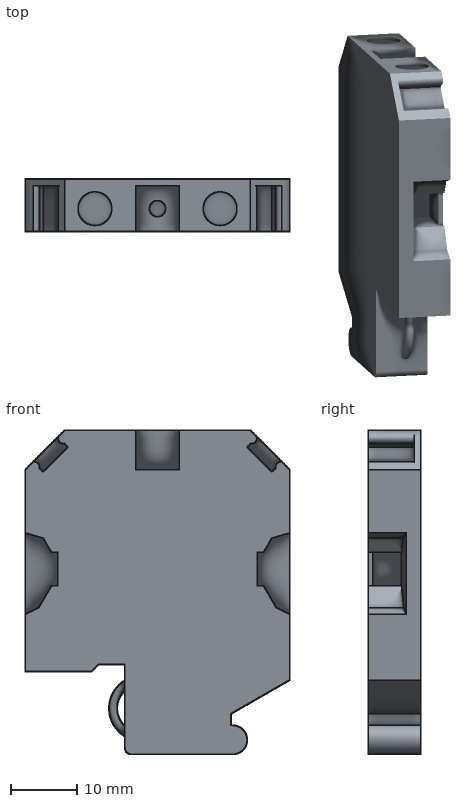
import cadquery as cq
import math

width = 40.0
thickness = 8.0
height = 49.0
half_width = width / 2
corner_chamfer = 6.0
left_shoulder_z = 12.5
step_z = 13.55
step_end_x = -8.9
foot_left_x = -4.95
foot_corner_radius = 1.0
right_shoulder_z = 11.2
hook_notch_x = 11.1
hook_notch_z = 6.12
hook_tip_x = 13.55
hook_radius = 2.2

recess_depth = 6.95
label_slot_half_width = 3.3
label_slot_height = 6.0

screw_y = 3.5
screw_x = 9.45
screw_diameter = 5.1
pin_diameter = 2.45
hole_depth = 0.5

marker_lower_end = -2.55
marker_upper_end = 2.75
marker_upper_mouth = 3.1
marker_depth = 2.15
marker_lip_height = 1.35
marker_lip_bulge = 0.35

entry_top_z = 30.6
entry_bottom_z = 25.5
entry_throat = 3.95
entry_outline = [
    (0, 33.45),
    (2.7, 32.7),
    (entry_throat, entry_top_z),
    (entry_throat, entry_bottom_z),
    (2.05, 22.2),
    (0, 21.15),
]
entry_mouth_depth = 5.75
wire_hole_depth = 5.05
front_skin = 0.7
window_reach = 4.9
wire_hole_reach = 10.8

loop_radius = 4.25
loop_wire_radius = 0.65
loop_center = (-2.45, 3.25, 6.95)
loop_tilt = 3.0


def front_plane():
    """Sketch plane on the front face; positive extrusion runs toward -Y."""
    return cq.Workplane("XZ")


def housing():
    diagonal = math.sqrt(0.5)
    hook_x = hook_tip_x - hook_radius
    corner_x = foot_left_x + foot_corner_radius
    return (
        front_plane()
        .moveTo(-half_width, left_shoulder_z)
        .lineTo(-half_width, height - corner_chamfer)
        .lineTo(-half_width + corner_chamfer, height)
        .lineTo(half_width - corner_chamfer, height)
        .lineTo(half_width, height - corner_chamfer)
        .lineTo(half_width, right_shoulder_z)
        .lineTo(hook_notch_x, hook_notch_z)
        .lineTo(hook_notch_x, 2 * hook_radius)
        .lineTo(hook_x, 2 * hook_radius)
        .threePointArc((hook_tip_x, hook_radius), (hook_x, 0))
        .lineTo(corner_x, 0)
        .threePointArc(
            (corner_x - foot_corner_radius * diagonal, foot_corner_radius * (1 - diagonal)),
            (foot_left_x, foot_corner_radius),
        )
        .lineTo(foot_left_x, step_z)
        .lineTo(step_end_x, step_z)
        .lineTo(step_end_x - (step_z - left_shoulder_z), left_shoulder_z)
        .close()
        .extrude(-thickness)
    )


def block(x_min, x_max, y_min, y_max, z_min, z_max):
    size = (x_max - x_min, y_max - y_min, z_max - z_min)
    return cq.Workplane("XY").box(*size, centered=False).translate((x_min, y_min, z_min))


def top_hole(x, z, diameter):
    return cq.Workplane("XY", origin=(x, screw_y, z)).circle(diameter / 2).extrude(-hole_depth)


def left_marker_recess():
    """Rectangular recess in the left chamfer, with a rounded lip at each end."""
    middle = corner_chamfer / 2
    chamfer_plane = cq.Plane(
        origin=(-half_width + middle, 0, height - middle), xDir=(1, 0, 1), normal=(0, -1, 0)
    )
    lip_middle = -marker_lip_height / 2
    return (
        cq.Workplane(chamfer_plane)
        .moveTo(marker_lower_end, 0)
        .threePointArc(
            (marker_lower_end + marker_lip_bulge, lip_middle), (marker_lower_end, -marker_lip_height)
        )
        .lineTo(marker_lower_end, -marker_depth)
        .lineTo(marker_upper_end, -marker_depth)
        .lineTo(marker_upper_end, -marker_lip_height)
        .threePointArc(
            (marker_upper_end - marker_lip_bulge, lip_middle), (marker_upper_mouth, 0)
        )
        .close()
        .extrude(-recess_depth)
    )


def left_wire_entry():
    """Funnel with a sloping back wall, its front window and the wire hole behind the front skin."""
    outline = [(-half_width + inset, z) for inset, z in entry_outline]
    throat_x = -half_width + entry_throat
    sloped_depth = (
        cq.Workplane("XY")
        .polyline([
            (-half_width, 0),
            (-half_width, entry_mouth_depth),
            (throat_x, wire_hole_depth),
            (throat_x, 0),
        ])
        .close()
        .extrude(height)
    )
    funnel = front_plane().polyline(outline).close().extrude(-thickness).intersect(sloped_depth)
    window = block(
        throat_x, -half_width + window_reach, 0, front_skin, entry_bottom_z, entry_top_z
    )
    wire_hole = block(
        throat_x, -half_width + wire_hole_reach,
        front_skin, wire_hole_depth, entry_bottom_z, entry_top_z,
    )
    return funnel.union(window).union(wire_hole)


def wire_loop():
    """Slightly tilted ring, trimmed to the part left of the foot plus a short embedded root."""
    ring = cq.Workplane(
        cq.Solid.makeTorus(loop_radius, loop_wire_radius, cq.Vector(0, 0, 0), cq.Vector(0, 1, 0))
    )
    ring = ring.rotate((0, 0, 0), (1, 0, 0), loop_tilt).translate(loop_center)
    root_x = foot_left_x + loop_wire_radius
    return ring.intersect(block(-half_width, root_x, 0, thickness, 0, step_z))


result = housing()
label_slot_floor = height - label_slot_height
result = result.cut(
    block(-label_slot_half_width, label_slot_half_width, 0, recess_depth, label_slot_floor, height)
)
result = result.cut(top_hole(0, label_slot_floor, pin_diameter))
for x in (-screw_x, screw_x):
    result = result.cut(top_hole(x, height, screw_diameter))
for recess in (left_marker_recess(), left_wire_entry()):
    result = result.cut(recess).cut(recess.mirror("YZ"))
result = result.union(wire_loop())